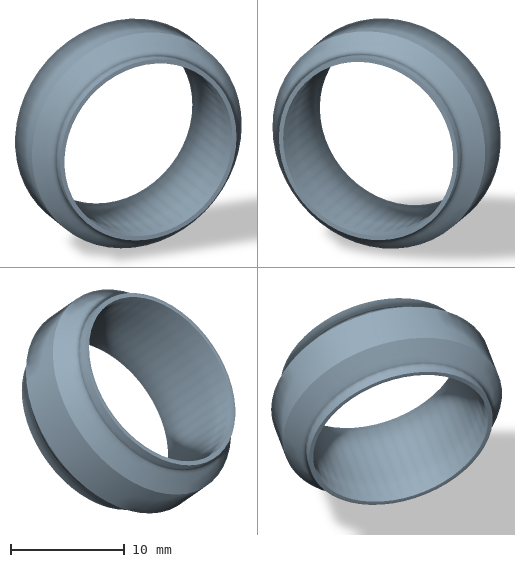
import cadquery as cq

outer_diameter = 20.0
collar_diameter = 16.8
bore_diameter = 16.0
total_width = 9.0
collar_width = 1.0

outer_radius = outer_diameter / 2
collar_radius = collar_diameter / 2
bore_radius = bore_diameter / 2

flank_width = outer_radius - collar_radius
end_x = total_width / 2
flank_foot_x = end_x - collar_width
flank_top_x = flank_foot_x - flank_width

section = (
    cq.Workplane("XY")
    .moveTo(-end_x, bore_radius)
    .lineTo(-end_x, collar_radius)
    .lineTo(-flank_foot_x, collar_radius)
    .lineTo(-flank_top_x, outer_radius)
    .lineTo(flank_top_x, outer_radius)
    .lineTo(flank_foot_x, collar_radius)
    .lineTo(end_x, collar_radius)
    .lineTo(end_x, bore_radius)
    .close()
)
result = section.revolve(360, (0, 0, 0), (1, 0, 0))